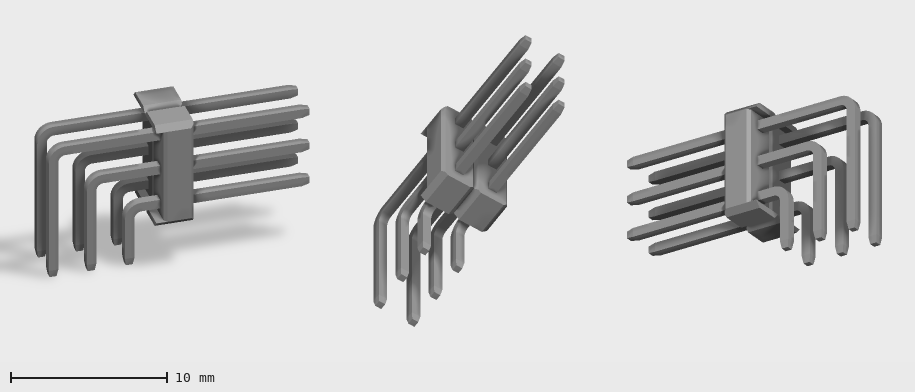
import cadquery as cq

pitch = 2.54
columns = 2
rows = 3

housing_width = columns * pitch
housing_depth = 2.54
housing_height = 7.5
end_bevel_run = 0.4
end_bevel_rise = 0.4
lip_length = 0.54
lip_edge = 0.015
lip_thickness = end_bevel_rise + lip_edge
corner_bevel = 0.2

pin_size = 0.64
pin_tail = 8.0
first_leg_offset = 1.5
leg_drop = 3.0
bend_inner_radius = 0.48
tip_length = 0.53
tip_size = 0.46

half_width = housing_width / 2
half_height = housing_height / 2
bend_radius = bend_inner_radius + pin_size / 2
tail_end_y = housing_depth + pin_tail
leg_end_z = -half_height - leg_drop

column_positions = [(i - (columns - 1) / 2) * pitch for i in range(columns)]
row_positions = [(i - (rows - 1) / 2) * pitch for i in range(rows)]


def end_profile():
    """Housing outline seen along Y: two cells with bevelled ends."""
    shoulder = half_height - end_bevel_rise
    flat_outer = half_width - end_bevel_run
    upper = [
        (half_width, shoulder),
        (flat_outer, half_height),
        (end_bevel_run, half_height),
        (0, shoulder),
        (-end_bevel_run, half_height),
        (-flat_outer, half_height),
        (-half_width, shoulder),
    ]
    lower = [(-x, -z) for x, z in upper]
    return upper + lower


def plan_profile(front, bevel_front):
    """Housing outline seen along Z, from the given front face to the back."""
    back = housing_depth
    flat_outer = half_width - corner_bevel
    back_edge = [
        (half_width, back - corner_bevel),
        (flat_outer, back),
        (corner_bevel, back),
        (0, back - corner_bevel),
        (-corner_bevel, back),
        (-flat_outer, back),
        (-half_width, back - corner_bevel),
    ]
    if bevel_front:
        front_edge = [(-x, front + back - y) for x, y in back_edge]
    else:
        front_edge = [(-half_width, front), (half_width, front)]
    return back_edge + front_edge


def plan_prism(front, bevel_front, height):
    outline = cq.Workplane("XY").polyline(plan_profile(front, bevel_front)).close()
    return outline.extrude(height / 2, both=True)


def pin_section(plane, center):
    return cq.Workplane(plane, origin=center).rect(pin_size, pin_size)


def tapered_tip(plane, root):
    """Tip that narrows away from its root, against the plane's normal."""
    end = pin_section(plane, root).workplane(offset=-tip_length).rect(tip_size, tip_size)
    return end.loft(ruled=True)


def build_pin(x, z, leg_y):
    """A square right-angle pin with both tips tapered."""
    bend_start_y = leg_y + bend_radius
    bend_end_z = z - bend_radius
    tail_root_y = tail_end_y - tip_length
    leg_root_z = leg_end_z + tip_length
    tail_root = (x, tail_root_y, z)
    leg_root = (x, leg_y, leg_root_z)

    pin = pin_section("XZ", tail_root).extrude(tail_root_y - bend_start_y)
    bend = pin_section("XZ", (x, bend_start_y, z))
    bend = bend.revolve(90, (0, -bend_radius, 0), (1, -bend_radius, 0))
    leg = pin_section("XY", leg_root).extrude(bend_end_z - leg_root_z)
    tips = (tapered_tip("XZ", tail_root), tapered_tip("XY", leg_root))
    for piece in (bend, leg, *tips):
        pin = pin.union(piece, clean=False)
    return pin


def build_housing():
    """Two-cell block with a recessed front between its top and bottom lips."""
    recess_height = housing_height - 2 * lip_thickness
    body = cq.Workplane("XZ").polyline(end_profile()).close().extrude(-housing_depth)
    body = body.intersect(plan_prism(0, False, housing_height))
    recess = cq.Workplane("XY").box(2 * housing_width, housing_depth, recess_height)
    body = body.cut(recess.cut(plan_prism(lip_length, True, recess_height)))
    for x in column_positions:
        for z in row_positions:
            hole = pin_section("XZ", (x, 0, z))
            body = body.cut(hole.extrude(-housing_depth))
    return body


housing = build_housing()

pins = []
for x in column_positions:
    for row, z in enumerate(row_positions):
        leg_y = -first_leg_offset - row * pitch
        pins.append(build_pin(x, z, leg_y))

result = cq.Compound.makeCompound([housing.val(), *[pin.val() for pin in pins]])